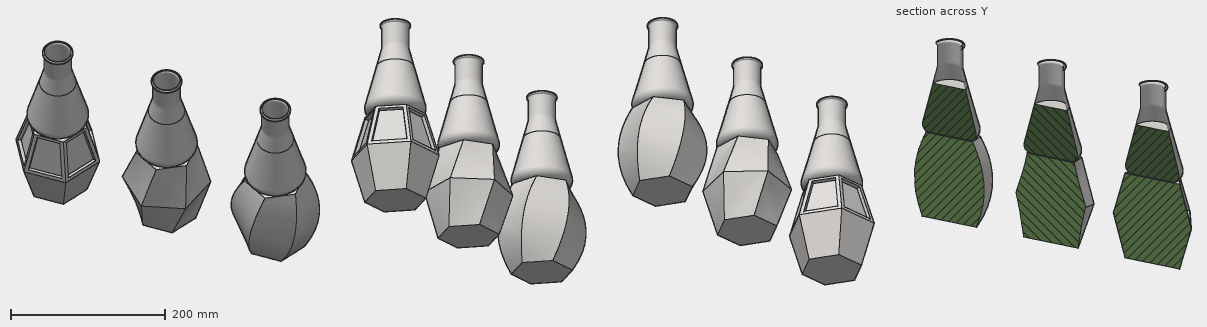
import cadquery as cq
import math

OVERALL_LENGTH = 413.5

SIDES = 6
TWIST_STEP = 15.0
BASE_HEIGHT = 119.5
WAIST_HEIGHT = 60.0
WAIST_FLATS = 100.0
END_FLATS = 70.0

FRAME_TOP = 3.7
FRAME_BOTTOM = 5.0
FRAME_SIDE = 5.0
WINDOW_DEPTH = 5.0

FLASK_HEIGHT = 130.3
BODY_RADIUS = 40.0
HEEL_RADIUS = 10.8
NECK_RADIUS = 36.0 / 2
WALL = 1.0
SHOULDER_RADIUS = 15.0
NECK_BOTTOM = 97.0
MOUTH_RADIUS = 34.7 / 2
BEAD_RADIUS = 2.27
BEAD_BLEND = 1.45
RIM_RADIUS = 40.0 / 2
LIQUID_LEVEL = 70.7

WAIST_CORNER = WAIST_FLATS / 2 / math.cos(math.pi / SIDES)
END_CORNER = END_FLATS / 2 / math.cos(math.pi / SIDES)


def hexagon(corner_radius, height, turn):
    """Closed hexagonal wire at a height, its first corner turned from +X."""
    angles = [math.radians(turn + 360 / SIDES * i) for i in range(SIDES)]
    corners = [cq.Vector(corner_radius * math.cos(a), corner_radius * math.sin(a), height) for a in angles]
    return cq.Wire.makePolygon(corners, close=True)


def hexagonal_base(twist, ruled):
    """Base lofted through foot, waist and top, each turned by one more twist step."""
    foot = hexagon(END_CORNER, 0, 0)
    waist = hexagon(WAIST_CORNER, WAIST_HEIGHT, twist)
    top = hexagon(END_CORNER, BASE_HEIGHT, 2 * twist)
    return cq.Workplane(cq.Solid.makeLoft([foot, waist, top], ruled))


def window_cutter():
    """Prism that sinks a window into the upper face on the -Y side."""
    lean = (WAIST_FLATS - END_FLATS) / 2
    rise = BASE_HEIGHT - WAIST_HEIGHT
    slope_length = math.hypot(lean, rise)
    normal = (0, -rise, lean)
    face_plane = cq.Plane(origin=(0, -WAIST_FLATS / 2, WAIST_HEIGHT), xDir=(1, 0, 0), normal=normal)

    narrowing = (WAIST_CORNER - END_CORNER) / 2 / slope_length
    side_frame = FRAME_SIDE * math.hypot(1, narrowing)

    def half_width(along):
        return WAIST_CORNER / 2 - narrowing * along - side_frame

    low = FRAME_BOTTOM
    high = slope_length - FRAME_TOP
    outline = [
        (-half_width(low), low),
        (half_width(low), low),
        (half_width(high), high),
        (-half_width(high), high),
    ]
    return cq.Workplane(face_plane).polyline(outline).close().extrude(-WINDOW_DEPTH)


def windowed_base():
    """Straight base with a sunken window in every upper face."""
    base = hexagonal_base(twist=0, ruled=True)
    cutter = window_cutter()
    for i in range(SIDES):
        base = base.cut(cutter.rotate((0, 0, 0), (0, 0, 1), 360 / SIDES * i))
    return base


def cone_outline(inset):
    """Half outline from the axis up to the neck, moved inward by inset."""
    heel_x = BODY_RADIUS - HEEL_RADIUS
    heel_z = HEEL_RADIUS
    heel_r = HEEL_RADIUS - inset
    shoulder_x = NECK_RADIUS + SHOULDER_RADIUS
    shoulder_r = SHOULDER_RADIUS + inset

    run = shoulder_x - heel_x
    climb = NECK_BOTTOM - heel_z
    tilt = math.atan2(climb, run) - math.acos((HEEL_RADIUS + SHOULDER_RADIUS) / math.hypot(run, climb))

    def on_heel(angle):
        return heel_x + heel_r * math.cos(angle), heel_z + heel_r * math.sin(angle)

    def on_shoulder(angle):
        return shoulder_x - shoulder_r * math.cos(angle), NECK_BOTTOM - shoulder_r * math.sin(angle)

    return (
        cq.Workplane("XZ")
        .moveTo(0, inset)
        .lineTo(heel_x, inset)
        .threePointArc(on_heel((tilt - math.pi / 2) / 2), on_heel(tilt))
        .lineTo(*on_shoulder(tilt))
        .threePointArc(on_shoulder(tilt / 2), on_shoulder(0))
    )


def flask_shape(inset):
    """Solid of the flask from floor to bead, with every wall moved inward by inset."""
    bead_r = BEAD_RADIUS - inset
    bead_x = RIM_RADIUS - BEAD_RADIUS
    bead_z = FLASK_HEIGHT - BEAD_RADIUS
    blend_r = BEAD_BLEND + inset

    offset_x = NECK_RADIUS + BEAD_BLEND - bead_x
    offset_z = -math.sqrt((bead_r + blend_r) ** 2 - offset_x**2)
    dip = math.atan2(-offset_z, offset_x)
    blend_x = bead_x + offset_x
    blend_z = bead_z + offset_z

    def on_blend(angle):
        return blend_x - blend_r * math.cos(angle), blend_z + blend_r * math.sin(angle)

    bead_start = on_blend(dip)
    bead_side = (bead_x + bead_r, bead_z)
    bead_top = (bead_x, bead_z + bead_r)
    return (
        cone_outline(inset)
        .lineTo(*on_blend(0))
        .threePointArc(on_blend(dip / 2), bead_start)
        .threePointArc(bead_side, bead_top)
        .lineTo(0, bead_z + bead_r)
        .close()
        .revolve()
    )


def flask():
    """Thin-walled flask with a hollow bead that is open at the top."""
    mouth = cq.Workplane("XY").workplane(offset=FLASK_HEIGHT).circle(MOUTH_RADIUS).extrude(-2 * WALL)
    return flask_shape(0).cut(flask_shape(WALL)).cut(mouth)


def liquid():
    """Filling of the flask up to the liquid level."""
    below_level = cq.Workplane("XY").circle(BODY_RADIUS).extrude(LIQUID_LEVEL)
    return flask_shape(WALL).intersect(below_level)


straight_base = windowed_base()
faceted_base = hexagonal_base(TWIST_STEP, ruled=True)
swelling_base = hexagonal_base(TWIST_STEP, ruled=False)

right_reach = swelling_base.val().BoundingBox().xmax
spacing = (OVERALL_LENGTH - WAIST_CORNER - right_reach) / 2

bodies = []
for i, base in enumerate([straight_base, faceted_base, swelling_base]):
    x = i * spacing
    bodies.append(base.translate((x, 0, 0)).solids().val())
    bodies.append(flask().translate((x, 0, BASE_HEIGHT)).solids().val())
    bodies.append(liquid().translate((x, 0, BASE_HEIGHT)).solids().val())

result = cq.Compound.makeCompound(bodies)